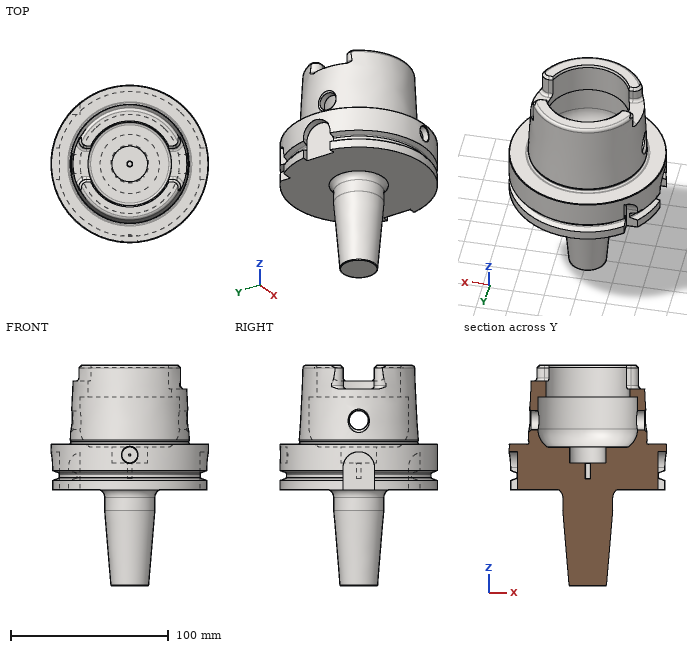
import cadquery as cq
import math

taper_top = 49.9
nose_end = -90.0
flange_bottom = -29.2

taper_base_radius = 37.85
taper_base_z = 2.5
taper_slope = 0.05
taper_rim_fillet = 2.0

undercut_radius = 37.55
undercut_ramp_z = 1.6
undercut_arc_radius = 1.0
undercut_face_radius = 39.4
undercut_ramp_angle = 8.0

flange_radius = 50.0
flange_chamfer = 0.4
groove_z = -20.1
groove_radius = 46.0
groove_mouth_half = 3.15
groove_root_half = 1.65
groove_root_fillet = 0.8

shank_radius = 16.0
shank_neck_z = -34.0
shank_neck_arc = 5.5
shank_cone_z = -42.3
nose_radius = 12.05
nose_chamfer = 0.5

bore_radius = 26.5
bore_floor_z = -2.0
relief_radius = 31.5
relief_top_z = 29.7
relief_wall_bottom_z = 9.5
relief_bowl_radius = 14.0
relief_floor_fillet = 2.0
bore_mouth_chamfer_width = 0.8
bore_mouth_chamfer_depth = 1.5
tube_seat_radius = 11.3
tube_seat_depth = 10.0
coolant_hole_radius = 1.55
coolant_hole_chamfer = 0.35
coolant_hole_depth = 10.0

drive_half_width = 9.8
drive_straight_x = 27.3
drive_corner_radius = 5.0
drive_floor_fillet = 2.0
drive_rim_chamfer = 1.7
drive_depth_minus_x = 10.0
drive_depth_plus_x = 15.0
drive_rim_flare = 45.0

cross_hole_radius = 6.0
cross_hole_z = 15.0
cross_hole_sink_start = 35.85

keyway_half_width = 10.0
keyway_center_z = -15.0
keyway_floor = 44.7
notch_center_y = 41.5
notch_floor = 31.5

chip_hole_z = -7.0
chip_hole_radius = 5.0
chip_hole_depth = 4.6
chip_hole_chamfer = 0.5
chip_point_radius = 0.65
chip_point_depth = 0.5

overrun = 5.0


def taper_radius(z):
    return taper_base_radius - taper_slope * (z - taper_base_z)


def make_body():
    """Turned outside: taper, undercut, flange with groove, and shank."""
    ramp = math.radians(undercut_ramp_angle)
    arc_x = undercut_radius + undercut_arc_radius
    ramp_start_r = arc_x + undercut_arc_radius * math.sin(ramp)
    ramp_start_z = -(undercut_face_radius - ramp_start_r) * math.tan(ramp)
    arc_z = ramp_start_z + undercut_arc_radius * math.cos(ramp)
    arc_mid = math.radians(225.0)

    def neck_radius(z):
        rise = z - shank_neck_z
        return shank_radius + shank_neck_arc - math.sqrt(shank_neck_arc**2 - rise**2)

    neck_mid_z = (flange_bottom + shank_neck_z) / 2
    arc_middle = (
        arc_x + undercut_arc_radius * math.cos(arc_mid),
        arc_z + undercut_arc_radius * math.sin(arc_mid),
    )
    profile = (
        cq.Workplane("XZ")
        .moveTo(0, taper_top)
        .lineTo(taper_radius(taper_top), taper_top)
        .lineTo(taper_base_radius, taper_base_z)
        .lineTo(undercut_radius, undercut_ramp_z)
        .lineTo(undercut_radius, arc_z)
        .threePointArc(arc_middle, (ramp_start_r, ramp_start_z))
        .lineTo(undercut_face_radius, 0)
        .lineTo(flange_radius - flange_chamfer, 0)
        .lineTo(flange_radius, -flange_chamfer)
        .lineTo(flange_radius, flange_bottom)
        .lineTo(neck_radius(flange_bottom), flange_bottom)
        .threePointArc((neck_radius(neck_mid_z), neck_mid_z), (shank_radius, shank_neck_z))
        .lineTo(shank_radius, shank_cone_z)
        .lineTo(nose_radius, nose_end + nose_chamfer)
        .lineTo(nose_radius - nose_chamfer, nose_end)
        .lineTo(0, nose_end)
        .close()
    )
    body = profile.revolve(360, (0, 0, 0), (0, 1, 0))
    return body.faces(">Z").edges().fillet(taper_rim_fillet)


def make_groove():
    """Gripper groove ring with sloped flanks and a rounded root."""
    flank_slope = (groove_mouth_half - groove_root_half) / (flange_radius - groove_radius)
    outer_radius = flange_radius + overrun
    outer_half = groove_mouth_half + overrun * flank_slope
    ring = (
        cq.Workplane("XZ")
        .moveTo(groove_radius, groove_z - groove_root_half)
        .lineTo(groove_radius, groove_z + groove_root_half)
        .lineTo(outer_radius, groove_z + outer_half)
        .lineTo(outer_radius, groove_z - outer_half)
        .close()
        .revolve(360, (0, 0, 0), (0, 1, 0))
    )
    root_edges = cq.selectors.RadiusNthSelector(0)
    return ring.edges("%CIRCLE").edges(root_edges).fillet(groove_root_fillet)


def make_relief():
    """Cylinder wider than the bore that rounds in, like a bowl, to the flat floor."""
    bowl_x = relief_radius - relief_bowl_radius

    def bowl_edge(z):
        drop = relief_wall_bottom_z - z
        return (bowl_x + math.sqrt(relief_bowl_radius**2 - drop**2), z)

    bowl_mid_z = (relief_wall_bottom_z + bore_floor_z) / 2
    relief = (
        cq.Workplane("XZ")
        .moveTo(0, relief_top_z)
        .lineTo(relief_radius, relief_top_z)
        .lineTo(relief_radius, relief_wall_bottom_z)
        .threePointArc(bowl_edge(bowl_mid_z), bowl_edge(bore_floor_z))
        .lineTo(0, bore_floor_z)
        .close()
        .revolve(360, (0, 0, 0), (0, 1, 0))
    )
    return relief.faces("<Z").edges().fillet(relief_floor_fillet)


def make_bore():
    """Main bore, wider relief below it, coolant tube seat and coolant hole."""
    bore = (
        cq.Workplane("XY", origin=(0, 0, relief_top_z))
        .circle(bore_radius)
        .extrude(taper_top - relief_top_z)
    )
    mouth = cq.Workplane(
        cq.Solid.makeCone(
            bore_radius,
            bore_radius + bore_mouth_chamfer_width,
            bore_mouth_chamfer_depth,
            pnt=cq.Vector(0, 0, taper_top - bore_mouth_chamfer_depth),
        )
    )
    seat_z = bore_floor_z - tube_seat_depth
    seat = cq.Workplane("XY", origin=(0, 0, seat_z)).circle(tube_seat_radius).extrude(tube_seat_depth)
    coolant = (
        cq.Workplane("XY", origin=(0, 0, seat_z - coolant_hole_depth))
        .circle(coolant_hole_radius)
        .extrude(coolant_hole_depth)
    )
    coolant_mouth = cq.Workplane(
        cq.Solid.makeCone(
            coolant_hole_radius,
            coolant_hole_radius + coolant_hole_chamfer,
            coolant_hole_chamfer,
            pnt=cq.Vector(0, 0, seat_z - coolant_hole_chamfer),
        )
    )
    return bore.union(make_relief()).union(mouth).union(seat).union(coolant).union(coolant_mouth)


def drive_slot_outline(z):
    """Slot outline opening toward +X.

    Each wall bends round an arc, up to the arc's farthest point from the axis,
    and then runs straight out in the radial direction.
    """
    center_y = drive_half_width + drive_corner_radius
    reach = math.hypot(drive_straight_x, center_y)
    diagonal = drive_corner_radius * math.cos(math.radians(45))
    mid = (drive_straight_x + diagonal, center_y - diagonal)
    arc_end_scale = 1 + drive_corner_radius / reach
    arc_end = (drive_straight_x * arc_end_scale, center_y * arc_end_scale)
    outer_scale = flange_radius / reach
    outer = (drive_straight_x * outer_scale, center_y * outer_scale)
    return (
        cq.Workplane("XY", origin=(0, 0, z))
        .moveTo(0, -drive_half_width)
        .lineTo(drive_straight_x, -drive_half_width)
        .threePointArc((mid[0], -mid[1]), (arc_end[0], -arc_end[1]))
        .lineTo(outer[0], -outer[1])
        .lineTo(*outer)
        .lineTo(*arc_end)
        .threePointArc(mid, (drive_straight_x, drive_half_width))
        .lineTo(0, drive_half_width)
        .close()
    )


def make_drive_slot(depth):
    """Drive slot toward +X with a filleted floor and a chamfered rim."""
    slot = drive_slot_outline(taper_top - depth).extrude(depth)
    slot = slot.faces("<Z").edges().fillet(drive_floor_fillet)
    rim = drive_slot_outline(taper_top - drive_rim_chamfer).extrude(drive_rim_chamfer, taper=-drive_rim_flare)
    return slot.union(rim)


def make_cross_hole():
    """Hole along X through both taper walls, countersunk at each end."""
    sink_length = taper_base_radius - cross_hole_sink_start + overrun
    start = cross_hole_sink_start + sink_length
    hole = cq.Workplane("YZ", origin=(-start, 0, cross_hole_z)).circle(cross_hole_radius).extrude(2 * start)
    for side in (1, -1):
        sink = cq.Solid.makeCone(
            cross_hole_radius,
            cross_hole_radius + sink_length,
            sink_length,
            pnt=cq.Vector(side * cross_hole_sink_start, 0, cross_hole_z),
            dir=cq.Vector(side, 0, 0),
        )
        hole = hole.union(cq.Workplane(sink))
    return hole


def make_keyway(floor_x, center_y):
    """Round-topped keyway open at the flange bottom, cut from floor_x outward to +X."""
    drop = keyway_center_z - flange_bottom
    arch = cq.Workplane("YZ", origin=(floor_x, center_y, keyway_center_z))
    length = flange_radius + overrun - floor_x
    round_top = arch.circle(keyway_half_width).extrude(length)
    straight = arch.center(0, -drop / 2).rect(2 * keyway_half_width, drop).extrude(length)
    return round_top.union(straight)


def make_chip_hole():
    """Flat-bottomed hole on the -Y side of the flange with a chamfered mouth."""
    floor = flange_radius - chip_hole_depth
    mouth = chip_hole_radius + chip_hole_chamfer
    hole = (
        cq.Workplane("XY")
        .moveTo(0, floor - chip_point_depth)
        .lineTo(chip_point_radius, floor - chip_point_depth)
        .lineTo(chip_point_radius, floor)
        .lineTo(chip_hole_radius, floor)
        .lineTo(chip_hole_radius, flange_radius - chip_hole_chamfer)
        .lineTo(mouth, flange_radius)
        .lineTo(0, flange_radius)
        .close()
        .revolve(360, (0, 0, 0), (0, 1, 0))
    )
    return hole.mirror("XZ").translate((0, 0, chip_hole_z))


def half_turn(shape):
    return shape.rotate((0, 0, 0), (0, 0, 1), 180)


result = (
    make_body()
    .cut(make_groove())
    .cut(make_bore())
    .cut(make_drive_slot(drive_depth_plus_x))
    .cut(half_turn(make_drive_slot(drive_depth_minus_x)))
    .cut(make_cross_hole())
    .cut(make_keyway(keyway_floor, 0))
    .cut(half_turn(make_keyway(keyway_floor, 0)))
    .cut(half_turn(make_keyway(notch_floor, -notch_center_y)))
    .cut(make_chip_hole())
)